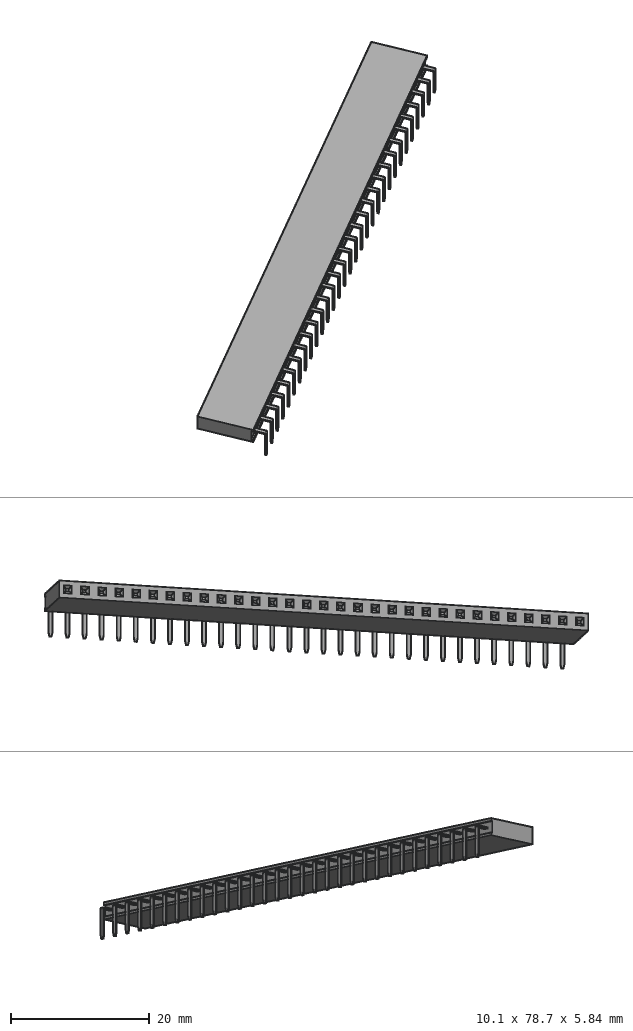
import cadquery as cq

PITCH = 2.54
PIN_COUNT = 31

BODY_DEPTH = 8.5
BODY_HEIGHT = PITCH
BODY_LENGTH = PIN_COUNT * PITCH

GROOVE_DEPTH = 0.3
GROOVE_HEIGHT = 1.7

ENTRY_SIZE = 1.2
ENTRY_THROAT_WIDTH = 0.5
ENTRY_THROAT_HEIGHT = 0.35
ENTRY_DEPTH = 0.4

PIN_THICKNESS = 0.2
PIN_WIDTH = 0.6
PIN_REACH = 1.63
PIN_DROP = 3.3
PIN_EMBED = 1.0
BEND_OUTER_RADIUS = 0.27
BEND_INNER_RADIUS = BEND_OUTER_RADIUS - PIN_THICKNESS
TIP_LENGTH = 0.6
TIP_WIDTH = 0.3

MID_HEIGHT = BODY_HEIGHT / 2
PIN_TOP = MID_HEIGHT + PIN_THICKNESS / 2
PIN_START = BODY_DEPTH - GROOVE_DEPTH - PIN_EMBED
PIN_END = BODY_DEPTH + PIN_REACH
PIN_POSITIONS = [(i - (PIN_COUNT - 1) / 2) * PITCH for i in range(PIN_COUNT)]


def make_body():
    """Rectangular bar with a groove along its rear face."""
    bar = cq.Workplane("XY").box(
        BODY_DEPTH, BODY_LENGTH, BODY_HEIGHT, centered=(False, True, False)
    )
    groove = (
        cq.Workplane("XY")
        .box(GROOVE_DEPTH, BODY_LENGTH, GROOVE_HEIGHT, centered=(False, True, True))
        .translate((BODY_DEPTH - GROOVE_DEPTH, 0, MID_HEIGHT))
    )
    return bar.cut(groove)


def make_entry(y):
    """Blind tapered pocket, narrowing from the mating face into the body."""
    return (
        cq.Workplane("YZ")
        .center(y, MID_HEIGHT)
        .rect(ENTRY_SIZE, ENTRY_SIZE)
        .workplane(offset=ENTRY_DEPTH)
        .rect(ENTRY_THROAT_WIDTH, ENTRY_THROAT_HEIGHT)
        .loft(combine=True)
    )


def make_pin():
    """Bent flat pin centred on Y = 0, with its width tapered at the tip."""
    strip = (
        cq.Workplane("XZ")
        .moveTo(PIN_START, PIN_TOP)
        .lineTo(PIN_END - BEND_OUTER_RADIUS, PIN_TOP)
        .radiusArc((PIN_END, PIN_TOP - BEND_OUTER_RADIUS), BEND_OUTER_RADIUS)
        .lineTo(PIN_END, -PIN_DROP)
        .lineTo(PIN_END - PIN_THICKNESS, -PIN_DROP)
        .lineTo(PIN_END - PIN_THICKNESS, PIN_TOP - BEND_OUTER_RADIUS)
        .radiusArc(
            (PIN_END - BEND_OUTER_RADIUS, PIN_TOP - PIN_THICKNESS), -BEND_INNER_RADIUS
        )
        .lineTo(PIN_START, PIN_TOP - PIN_THICKNESS)
        .close()
        .extrude(PIN_WIDTH / 2, both=True)
    )
    return strip.faces("<Z").edges("|X").chamfer(TIP_LENGTH, (PIN_WIDTH - TIP_WIDTH) / 2)


body = make_body()
pin = make_pin()
entries = [make_entry(y).val() for y in PIN_POSITIONS]
pins = [pin.val().translate(cq.Vector(0, y, 0)) for y in PIN_POSITIONS]

socket = body.val().cut(*entries).fuse(*pins)
result = cq.Workplane("XY").newObject([socket])